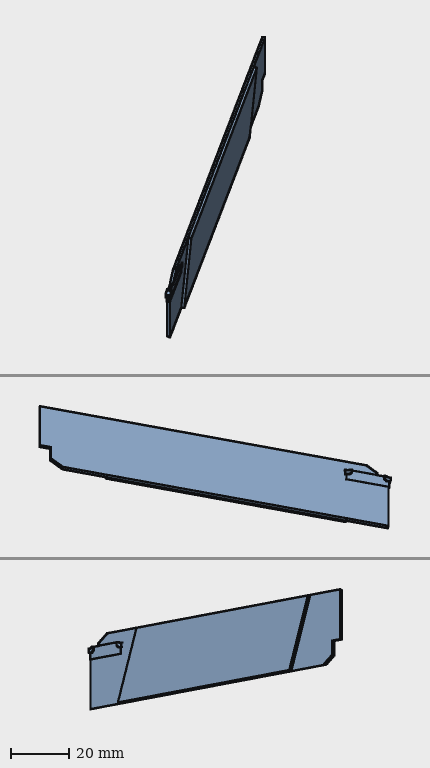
import cadquery as cq

length = 125.0
height = 25.4
full_width = 2.5
blade_side = 0.4
ridge_x = 1.44
ridge_rise = 0.31

front_face = 0.81
mid_y = (front_face + length) / 2
notch_depth = 3.9
notch_height = 8.0
bevel_end_drop = 3.0
bevel_length = 4.5
jaw_y = front_face + notch_depth

plate_toe = 15.5
plate_crest = 25.0

insert_length = 16.4
insert_bottom = height - notch_height
insert_top = 21.6
tip_top = 21.3
tip_bottom = 19.6
tip_relief = 0.19
breaker_length = 1.8
breaker_dip = 0.06
breaker_mid = breaker_length / 2
breaker_low = tip_top - breaker_dip
body_inset = 0.5
flank_length = 1.5
flank_end = 2.4
body_width = 0.9
tip_width = body_width + 2 * blade_side


def side_extrude(outline, x_start, x_end):
    """Extrude a closed YZ outline between two X positions."""
    return outline.extrude(x_end - x_start).translate((x_start, 0, 0))


def v_edged_bar(y_start, y_end):
    """Bar as thick as blade and plate together, with ridges along its top and bottom edges."""
    return (
        cq.Workplane("XZ", origin=(0, y_start, 0))
        .moveTo(blade_side, ridge_rise)
        .lineTo(ridge_x, 0)
        .lineTo(full_width, ridge_rise)
        .lineTo(full_width, height - ridge_rise)
        .lineTo(ridge_x, height)
        .lineTo(blade_side, height - ridge_rise)
        .close()
        .extrude(-(y_end - y_start))
    )


def blade_outline():
    """Side outline of the thin blade, before the insert pocket is cut."""
    rear_y = length - notch_depth
    return (
        cq.Workplane("YZ")
        .moveTo(front_face, 0)
        .lineTo(rear_y - bevel_length, 0)
        .lineTo(rear_y, bevel_end_drop)
        .lineTo(rear_y, notch_height)
        .lineTo(length, notch_height)
        .lineTo(length, height)
        .lineTo(jaw_y + bevel_length, height)
        .lineTo(jaw_y, height - bevel_end_drop)
        .lineTo(jaw_y, insert_bottom)
        .lineTo(front_face, insert_bottom)
        .close()
    )


def plate_outline():
    """Side outline of the plate, a parallelogram with half-turn symmetry."""
    return (
        cq.Workplane("YZ")
        .moveTo(plate_toe, 0)
        .lineTo(2 * mid_y - plate_crest, 0)
        .lineTo(2 * mid_y - plate_toe, height)
        .lineTo(plate_crest, height)
        .close()
    )


def insert_outline():
    """Side outline of the whole insert, with a chip breaker at each end."""
    rear = insert_length
    return (
        cq.Workplane("YZ")
        .moveTo(body_inset, insert_bottom)
        .lineTo(rear - body_inset, insert_bottom)
        .lineTo(rear - body_inset, tip_bottom)
        .lineTo(rear - tip_relief, tip_bottom)
        .lineTo(rear, tip_top)
        .threePointArc((rear - breaker_mid, breaker_low), (rear - breaker_length, insert_top))
        .lineTo(breaker_length, insert_top)
        .threePointArc((breaker_mid, breaker_low), (0, tip_top))
        .lineTo(tip_relief, tip_bottom)
        .lineTo(body_inset, tip_bottom)
        .close()
    )


def front_tip_outline():
    """Side outline of the wide cutting tip at the front end of the insert."""
    return (
        cq.Workplane("YZ")
        .moveTo(tip_relief, tip_bottom)
        .lineTo(flank_length, tip_bottom)
        .lineTo(flank_end, (tip_bottom + tip_top) / 2)
        .lineTo(flank_end, insert_top)
        .lineTo(breaker_length, insert_top)
        .threePointArc((breaker_mid, breaker_low), (0, tip_top))
        .close()
    )


def make_insert():
    """Double-ended cutting insert."""
    body = side_extrude(insert_outline(), blade_side, blade_side + body_width)
    tip = side_extrude(front_tip_outline(), 0, tip_width)
    rear_tip = tip.mirror("XZ", (0, insert_length / 2, 0))
    return body.union(tip).union(rear_tip)


def make_blade():
    """Blade and stiffening plate in one piece, with the insert pocket."""
    profile = side_extrude(blade_outline(), blade_side, ridge_x).union(
        side_extrude(plate_outline(), ridge_x, full_width)
    )
    pocket = side_extrude(insert_outline(), blade_side, ridge_x)
    return v_edged_bar(front_face, length).intersect(profile).cut(pocket)


blade = make_blade()
insert = make_insert()

result = cq.Compound.makeCompound([blade.val(), insert.val()])